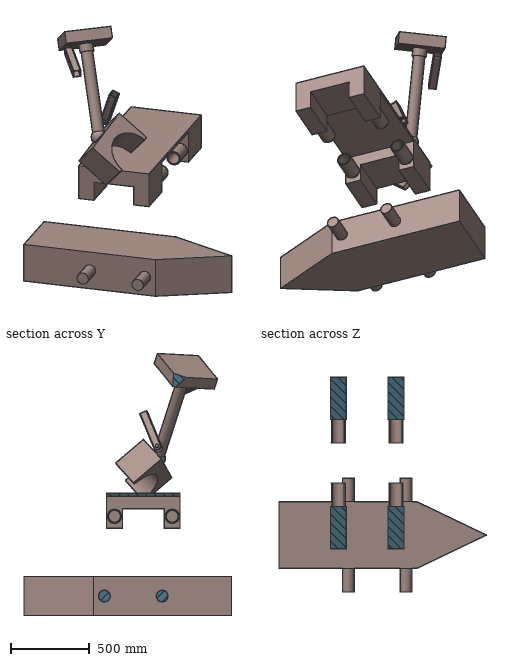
import cadquery as cq
import math

hull_length = 1317.0
hull_width = 422.0
hull_height = 250.0
bow_length = 440.0
pin_diameter = 75.0
pin_overhang = 150.0
pin_spacing = 365.0
rear_pin_x = 440.0

bridge_x = 326.0
bridge_y = 273.0
bridge_z = 554.0
bridge_length = 1089.0
bridge_width = 467.0
bridge_height = 223.0
leg_width = bridge_width - pin_spacing
channel_height = 123.0
foot_length = 270.0
deck_thickness = 20.0
tube_diameter = 90.0
tube_length = 150.0
tube_axis_height = 76.0

ball_radius = 50.0
strut_diameter = 75.0
seat_distance = 600.0

saddle_azimuth = -174.3
saddle_tilt = 49.7
saddle_roll = -115.0
panel_seat_point = (301.0, 500.0, 1516.0)
panel_azimuth = -56.0
panel_tilt = 150.0
panel_roll = -84.7

saddle_length = 367.0
saddle_width = 181.0
saddle_depth = 233.0
saddle_arch_radius = 156.0
panel_side = 300.0
panel_thickness = 75.0
collar_diameter = 90.0
collar_height = 50.0

handle_side = 50.0
handle_wall = 5.0
handle_reach = 250.0
handle_hole_diameter = 23.0
handle_edge_inset = 10.0
handle_clearance = 12.0
saddle_handle_swing = 18.3
panel_handle_swing = 42.8


def make_hull():
    """Pointed prism with two round pins running across it."""
    half_width = hull_width / 2
    shoulder_x = hull_length - bow_length
    center_y = pin_overhang + half_width
    outline = [
        (0, -half_width),
        (shoulder_x, -half_width),
        (hull_length, 0),
        (shoulder_x, half_width),
        (0, half_width),
    ]
    hull = cq.Workplane("XY").polyline(outline).close().extrude(hull_height)
    pin_height = hull_height / 2
    pins = (
        cq.Workplane("XZ")
        .pushPoints([(rear_pin_x, pin_height), (rear_pin_x + pin_spacing, pin_height)])
        .circle(pin_diameter / 2)
        .extrude(hull_width / 2 + pin_overhang, both=True)
    )
    return hull.union(pins).translate((0, center_y, 0))


def make_bridge():
    """Inverted channel, cut away between its feet, with a pin socket on each leg."""
    bridge = cq.Workplane("XY").box(bridge_width, bridge_length, bridge_height, centered=(True, True, False))
    channel = cq.Workplane("XY").box(
        bridge_width - 2 * leg_width, bridge_length, channel_height, centered=(True, True, False)
    )
    gap_length = bridge_length - 2 * foot_length
    gap = cq.Workplane("XY").box(
        bridge_width, gap_length, bridge_height - deck_thickness, centered=(True, True, False)
    )
    bridge = bridge.cut(channel).cut(gap)
    for side in (-1, 1):
        for end in (-1, 1):
            foot_face = cq.Plane(
                origin=(side * pin_spacing / 2, end * gap_length / 2, tube_axis_height),
                xDir=(1, 0, 0),
                normal=(0, -end, 0),
            )
            ring = cq.Workplane(foot_face).circle(tube_diameter / 2).circle(pin_diameter / 2)
            bridge = bridge.union(ring.extrude(tube_length))
    return bridge.translate((bridge_x + bridge_width / 2, bridge_y + bridge_length / 2, bridge_z))


def seat_plane(point, azimuth, tilt, roll):
    """Plane on a seat: normal tilted from vertical toward the azimuth, then rolled about that normal."""
    plane = cq.Plane(origin=point)
    for turn in ((0, 0, azimuth), (0, tilt, 0), (0, 0, roll)):
        plane = plane.rotated(turn)
    return plane


def make_saddle(plane, strut):
    """Block with a half-round arch along its underside and a seat for the strut's ball in its top face."""
    half_length = saddle_length / 2
    side_face = cq.Plane(
        origin=plane.toWorldCoords((0, saddle_width / 2, 0)), xDir=plane.xDir * -1, normal=plane.yDir
    )
    block = (
        cq.Workplane(side_face)
        .moveTo(-half_length, 0)
        .lineTo(half_length, 0)
        .lineTo(half_length, -saddle_depth)
        .lineTo(saddle_arch_radius, -saddle_depth)
        .threePointArc((0, saddle_arch_radius - saddle_depth), (-saddle_arch_radius, -saddle_depth))
        .lineTo(-half_length, -saddle_depth)
        .close()
        .extrude(-saddle_width)
    )
    return block.cut(strut)


def make_panel(plane):
    """Square slab with a collar for the strut in the middle of its underside."""
    slab = cq.Workplane(plane).rect(panel_side, panel_side).extrude(-panel_thickness)
    collar = cq.Workplane(plane).circle(collar_diameter / 2).extrude(collar_height)
    return slab.union(collar)


def make_strut(ball_plane, collar_plane):
    """Rod standing square on the panel's collar and ending in a ball in the saddle's seat."""
    rod = (
        cq.Workplane(collar_plane)
        .workplane(offset=collar_height)
        .circle(strut_diameter / 2)
        .extrude(seat_distance - collar_height)
    )
    return rod.union(cq.Workplane(ball_plane).sphere(ball_radius))


def make_handle(plane, plate_length, swing):
    """Square tube beside the plate's +X edge, swung up from the plate's -Y direction."""
    half = handle_side / 2
    pivot = plane.toWorldCoords((plate_length / 2 - handle_edge_inset - half, 0, half + handle_clearance))
    swing_angle = math.radians(swing)
    along = plane.yDir * -math.cos(swing_angle) + plane.zDir * math.sin(swing_angle)
    side_plane = cq.Plane(origin=pivot, xDir=along, normal=plane.xDir)
    tube = (
        cq.Workplane(side_plane)
        .moveTo(handle_reach, half)
        .lineTo(0, half)
        .threePointArc((-half, 0), (0, -half))
        .lineTo(handle_reach, -half)
        .close()
        .extrude(half, both=True)
    )
    cavity_width = handle_side - 2 * handle_wall
    bore = (
        cq.Workplane(side_plane)
        .rect(2 * (handle_reach + handle_side), cavity_width)
        .extrude(cavity_width / 2, both=True)
    )
    pivot_hole = cq.Workplane(side_plane).circle(handle_hole_diameter / 2).extrude(handle_side, both=True)
    return tube.cut(bore).cut(pivot_hole)


panel_plane = seat_plane(panel_seat_point, panel_azimuth, panel_tilt, panel_roll)
saddle_seat_point = panel_plane.toWorldCoords((0, 0, seat_distance))
saddle_plane = seat_plane(saddle_seat_point, saddle_azimuth, saddle_tilt, saddle_roll)

hull = make_hull()
bridge = make_bridge()
panel = make_panel(panel_plane)
strut = make_strut(saddle_plane, panel_plane)
saddle = make_saddle(saddle_plane, strut)
handles = [
    make_handle(plane, plate_length, swing).val()
    for plane, plate_length, swing in (
        (saddle_plane, saddle_length, saddle_handle_swing),
        (panel_plane, panel_side, panel_handle_swing),
    )
]

result = cq.Compound.makeCompound(
    [hull.val(), bridge.val(), saddle.val(), panel.val(), strut.val(), *handles]
)